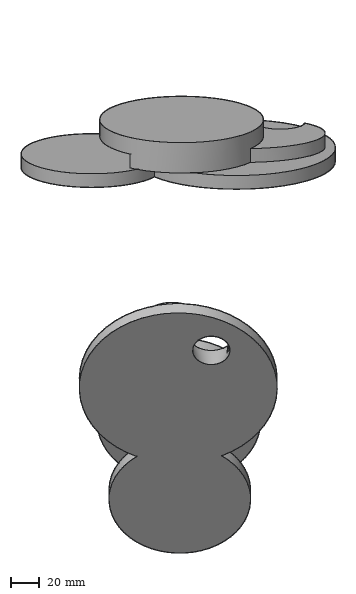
import cadquery as cq

overall_x = 165.2
overall_y = 207.3

plate_top = 10.0
wing_top = 20.0
cap_top = 32.0

small_radius = 49.1
small_center = (small_radius, small_radius)
large_radius = 68.6
large_center = (overall_x - large_radius, overall_y - large_radius)
cap_radius = 113.5 / 2
cap_center = (78.5, 104.7)

wing_center = (99.5, 143.7)
wing_long_radius = 55.8
wing_short_radius = 37.3
wing_angle = 55.2

recess_radius = 40.0
recess_center = (53.3, 56)

hole_center = (92.0, 179.7)
hole_bottom_radius = 12.9
hole_top_radius = 17.0


def disc(center, radius, bottom, top):
    return cq.Workplane("XY", origin=(*center, bottom)).circle(radius).extrude(top - bottom)


plate = disc(small_center, small_radius, 0, plate_top)
plate = plate.union(disc(large_center, large_radius, 0, plate_top))

wing = (
    cq.Workplane("XY", origin=(*wing_center, plate_top))
    .ellipse(wing_long_radius, wing_short_radius, rotation_angle=wing_angle)
    .extrude(wing_top - plate_top)
)
cap = disc(cap_center, cap_radius, plate_top, cap_top)
recess = disc(recess_center, recess_radius, plate_top, wing_top)
upper = wing.union(cap).cut(recess)

hole = cq.Workplane("XY").add(
    cq.Solid.makeCone(hole_bottom_radius, hole_top_radius, wing_top, pnt=cq.Vector(*hole_center, 0))
)

result = plate.union(upper).cut(hole)